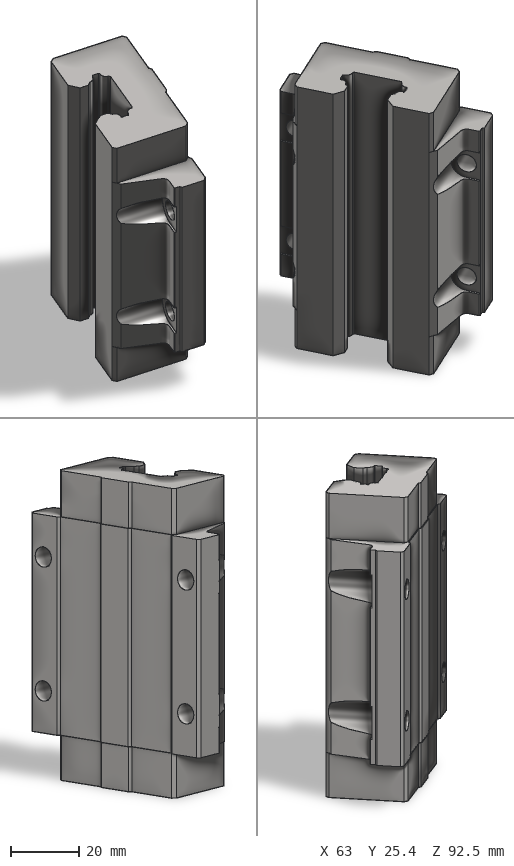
import cadquery as cq


total_length = 92.5
height = 25.4
flange_width = 63.0
flange_half_width = flange_width / 2

lower_cap_length = 13.5
block_length = 65.2
upper_cap_length = total_length - lower_cap_length - block_length
block_middle_z = lower_cap_length + block_length / 2

recess_depth = 0.65
pad_inner_x = 21.5
recess_outer_x = 20.5
recess_inner_x = 5.7
ridge_half_width = 5.0
top_chamfer = 0.9

flange_thickness = 10.2
flange_bottom_y = height - flange_thickness
flange_bottom_chamfer = 0.65
flange_root_x = 25.9
flange_root_fillet = 2.0

skirt_foot_x = 22.5
skirt_foot_y = 1.9
bottom_half_width = 20.5

relief_height = 2.2
relief_depth = 0.65
relief_slope = 0.5
relief_bottom_chamfer = 0.3

cap_half_width = 21.55
cap_inset = 0.3
cap_corner_chamfer = 1.0
cap_foot_y = 1.1

channel_top_y = 12.9
channel_top_half_width = 7.3
channel_mouth_half_width = 6.7
mouth_upper_y = 5.4
mouth_lower_y = 2.7
mouth_flare_half_width = 9.25
groove_half_width = 10.0
groove_center_y = 9.3
groove_half_height = 1.0

race_groove_x = 9.6
race_groove_rise = 0.23
race_mid_x = 8.3
race_mid_offset = 1.7
race_outer_x = 7.7
race_outer_offset = 3.0

hole_spacing_x = 53.0
hole_spacing_z = 40.0
hole_diameter = 6.0
spot_face_depth = 9.5
spot_face_radius = 5.0
spot_face_y = height - spot_face_depth


def mounting_face(top_y):
    """Points of the recessed and ridged mounting face, from +X to -X."""
    right = [
        (recess_outer_x, top_y - recess_depth),
        (recess_inner_x, top_y - recess_depth),
        (ridge_half_width, top_y),
    ]
    left = [(-x, y) for x, y in reversed(right)]
    return right + left


def extrude_along_rail(points, start_z, length):
    return cq.Workplane("XY", origin=(0, 0, start_z)).polyline(points).close().extrude(length)


def make_block():
    """Flanged steel block with rounded flange roots."""
    right_top = [
        (bottom_half_width, 0),
        (skirt_foot_x, skirt_foot_y),
        (flange_root_x, flange_bottom_y),
        (flange_half_width - relief_depth - relief_bottom_chamfer, flange_bottom_y),
        (flange_half_width - relief_depth, flange_bottom_y + relief_bottom_chamfer),
        (flange_half_width - relief_depth, flange_bottom_y + relief_height - relief_slope),
        (flange_half_width, flange_bottom_y + relief_height),
        (flange_half_width, height - top_chamfer),
        (flange_half_width - top_chamfer, height),
        (pad_inner_x, height),
    ]
    left_bottom = [
        (-pad_inner_x, height),
        (-flange_half_width + top_chamfer, height),
        (-flange_half_width, height - top_chamfer),
        (-flange_half_width, flange_bottom_y + flange_bottom_chamfer),
        (-flange_half_width + flange_bottom_chamfer, flange_bottom_y),
        (-flange_root_x, flange_bottom_y),
        (-skirt_foot_x, skirt_foot_y),
        (-bottom_half_width, 0),
    ]
    outline = right_top + mounting_face(height) + left_bottom
    block = extrude_along_rail(outline, lower_cap_length, block_length)
    for side in (-1, 1):
        root_point = (side * flange_root_x, flange_bottom_y, block_middle_z)
        root = cq.selectors.NearestToPointSelector(root_point)
        block = block.edges("|Z").edges(root).fillet(flange_root_fillet)
    return block


def make_cap(start_z, length):
    """End cap, set slightly below the mounting face of the block."""
    cap_top_y = height - cap_inset
    cap_recess_y = cap_top_y - recess_depth
    right = [
        (bottom_half_width, 0),
        (cap_half_width, cap_foot_y),
        (cap_half_width, cap_recess_y - cap_corner_chamfer),
    ]
    left = [(-x, y) for x, y in reversed(right)]
    return extrude_along_rail(right + mounting_face(cap_top_y) + left, start_z, length)


def race_point(x, offset, direction):
    """Point on a race, offset from the groove center toward the top (1) or the mouth (-1)."""
    return (x, groove_center_y + direction * offset)


def make_rail_channel():
    """Channel for the rail, with a convex race above and below the side groove on each flank."""
    race_groove_offset = groove_half_height + race_groove_rise
    half = (
        cq.Workplane("XY")
        .moveTo(0, 0)
        .lineTo(mouth_flare_half_width, 0)
        .lineTo(channel_mouth_half_width, mouth_lower_y)
        .lineTo(channel_mouth_half_width, mouth_upper_y)
        .lineTo(*race_point(race_outer_x, race_outer_offset, -1))
        .threePointArc(
            race_point(race_mid_x, race_mid_offset, -1),
            race_point(race_groove_x, race_groove_offset, -1),
        )
        .lineTo(groove_half_width, groove_center_y - groove_half_height)
        .lineTo(groove_half_width, groove_center_y + groove_half_height)
        .lineTo(*race_point(race_groove_x, race_groove_offset, 1))
        .threePointArc(
            race_point(race_mid_x, race_mid_offset, 1),
            race_point(race_outer_x, race_outer_offset, 1),
        )
        .lineTo(channel_top_half_width, channel_top_y)
        .lineTo(0, channel_top_y)
        .close()
        .extrude(total_length)
    )
    return half.union(half.mirror("YZ")).clean()


def make_mounting_cut(side, z):
    """Through hole with a round spot face that runs out through the flange edge."""
    hole_x = side * hole_spacing_x / 2
    edge_distance = flange_half_width - hole_spacing_x / 2
    base = cq.Workplane("XZ", origin=(hole_x, 0, z))
    hole = base.circle(hole_diameter / 2).extrude(-height)
    spot_face = base.circle(spot_face_radius).extrude(-spot_face_y)
    run_out = (
        base.center(side * edge_distance / 2, 0)
        .rect(edge_distance, 2 * spot_face_radius)
        .extrude(-spot_face_y)
    )
    return hole.union(spot_face).union(run_out)


block = make_block()
for side in (-1, 1):
    for end in (-1, 1):
        block = block.cut(make_mounting_cut(side, block_middle_z + end * hole_spacing_z / 2))

lower_cap = make_cap(0, lower_cap_length)
upper_cap = make_cap(total_length - upper_cap_length, upper_cap_length)
result = block.union(lower_cap).union(upper_cap).cut(make_rail_channel())